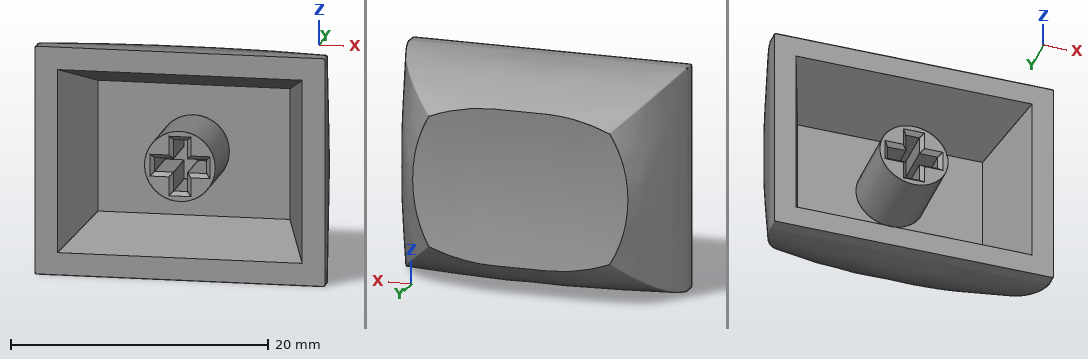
import cadquery as cq
import math

width = 22.95
height = 18.2
skirt_depth = 1.0
corner_radius = 0.15

crown_depth = 7.8
side_drop = 2.75
corner_drop_x = 3.9
corner_drop_z = 3.67
corner_lean = 0.25
center_strip = 4.73
crown_sections = 5
loft_depth = 8.5

dish_bottom = 7.2
dish_radius_x = 81.93
dish_radius_z = 37.4

wall = 1.8
cavity_depth = 5.78
cavity_inset = 2.09

stem_diameter = 5.6
cross_length = 4.75
cross_width = 1.75
cross_inset = 0.32
cross_chamfer_depth = 0.32
cross_depth = 4.6
stem_overlap = 0.23


def plane_at(depth):
    """XZ plane at a given Y, with sketch axes along X and Z and normal along -Y."""
    return cq.Workplane("XZ", origin=(0, depth, 0))


def arc_drop(total_drop, depth, lean=0.0):
    """Inward drop at a depth: an arc tangent to the skirt, plus a share of straight slope."""
    rise = crown_depth - skirt_depth
    climb = depth - skirt_depth
    slope_drop = lean * total_drop
    curved_drop = total_drop - slope_drop
    radius = (rise**2 + curved_drop**2) / (2 * curved_drop)
    return slope_drop * climb / rise + radius - math.sqrt(radius**2 - climb**2)


def crown_outline(depth):
    """Bowed rectangle with a straight strip in the middle of each long side."""
    side_x = width / 2 - arc_drop(side_drop, depth)
    side_z = height / 2 - arc_drop(side_drop, depth)
    corner_x = width / 2 - arc_drop(corner_drop_x, depth, corner_lean)
    corner_z = height / 2 - arc_drop(corner_drop_z, depth, corner_lean)
    strip_x = center_strip / 2
    shoulder_x = (corner_x + strip_x) / 2
    bow_x = 2 * side_x - corner_x

    def curve(*points):
        return cq.Edge.makeBezier([cq.Vector(x, depth, z) for x, z in points])

    return cq.Wire.assembleEdges([
        curve((-corner_x, -corner_z), (-shoulder_x, -side_z), (-strip_x, -side_z)),
        curve((-strip_x, -side_z), (strip_x, -side_z)),
        curve((strip_x, -side_z), (shoulder_x, -side_z), (corner_x, -corner_z)),
        curve((corner_x, -corner_z), (bow_x, 0), (corner_x, corner_z)),
        curve((corner_x, corner_z), (shoulder_x, side_z), (strip_x, side_z)),
        curve((strip_x, side_z), (-strip_x, side_z)),
        curve((-strip_x, side_z), (-shoulder_x, side_z), (-corner_x, corner_z)),
        curve((-corner_x, corner_z), (-bow_x, 0), (-corner_x, -corner_z)),
    ])


def make_shell():
    """Straight skirt and curved crown, with the corners rounded and the top dished."""
    skirt = cq.Workplane("XZ").rect(width, height).extrude(-skirt_depth)
    step = (loft_depth - skirt_depth) / (crown_sections - 1)
    outlines = [crown_outline(skirt_depth + i * step) for i in range(crown_sections)]
    crown = cq.Workplane(cq.Solid.makeLoft(outlines))
    corner_zone_x = width / 2 - 2 * corner_drop_x
    corner_zone_z = height / 2 - 2 * corner_drop_z
    body = skirt.union(crown)
    corner_edges = []
    for edge in body.edges().vals():
        middle = edge.Center()
        in_corner = abs(middle.x) > corner_zone_x and abs(middle.z) > corner_zone_z
        runs_along_y = edge.BoundingBox().ylen > corner_radius
        if in_corner and runs_along_y:
            corner_edges.append(edge)
    body = body.newObject(corner_edges).fillet(corner_radius)
    dish = cq.Solid.makeTorus(
        dish_radius_x - dish_radius_z,
        dish_radius_z,
        cq.Vector(0, dish_bottom + dish_radius_x, 0),
        cq.Vector(0, 0, 1),
    )
    return body.cut(cq.Workplane(dish))


def make_cavity():
    opening_x = width - 2 * wall
    opening_z = height - 2 * wall
    return (
        plane_at(0)
        .rect(opening_x, opening_z)
        .workplane(offset=-cavity_depth)
        .rect(opening_x - 2 * cavity_inset, opening_z - 2 * cavity_inset)
        .loft(ruled=True)
    )


def cross_outline(depth, inset):
    """Closed cross outline, drawn inset from the socket mouth."""
    tip = cross_length / 2 - inset
    arm = cross_width / 2 - inset
    quarter = [(tip, -arm), (tip, arm), (arm, arm)]
    points = []
    for _ in range(4):
        points += quarter
        quarter = [(-z, x) for x, z in quarter]
    return plane_at(depth).polyline(points).close()


def make_socket():
    """Cross-shaped blind hole with a chamfered mouth."""
    mouth = cq.Workplane(
        cq.Solid.makeLoft(
            [
                cross_outline(0, 0).val(),
                cross_outline(cross_chamfer_depth, cross_inset).val(),
            ],
            True,
        )
    )
    shaft = cross_outline(0, cross_inset).extrude(-cross_depth)
    return mouth.union(shaft)


stem = cq.Workplane("XZ").circle(stem_diameter / 2).extrude(-(cavity_depth + stem_overlap))
result = make_shell().cut(make_cavity()).union(stem).cut(make_socket())